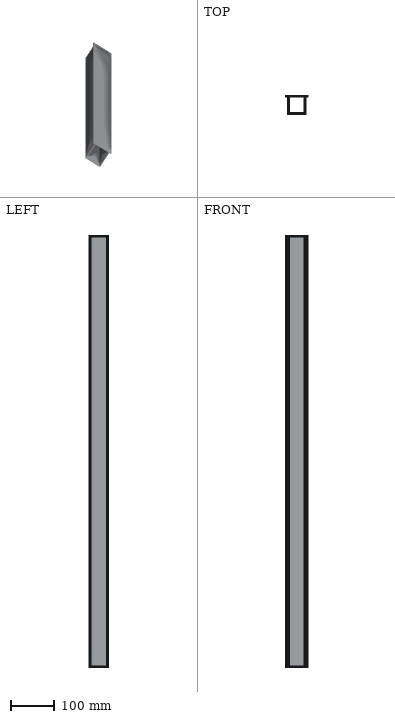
import cadquery as cq

length = 1000.0
channel_width = 40.0
channel_depth = 42.0
wall = 2.0
overall_width = 50.0

inner_width = channel_width - 2 * wall


def make_channel():
    """U-shaped duct, open toward +Y, with an outward lip along each rim."""
    outer = cq.Workplane("XY").box(channel_width, channel_depth, length, centered=(True, False, False))
    lips = (
        cq.Workplane("XY")
        .box(overall_width, wall, length, centered=(True, False, False))
        .translate((0, channel_depth - wall, 0))
    )
    cavity = (
        cq.Workplane("XY")
        .box(inner_width, channel_depth - wall, length, centered=(True, False, False))
        .translate((0, wall, 0))
    )
    return outer.union(lips).cut(cavity)


def make_lid():
    """Flat strip between the channel walls, flush with the lips."""
    lid = cq.Workplane("XY").box(inner_width, wall, length, centered=(True, False, False))
    return lid.translate((0, channel_depth - wall, 0))


channel = make_channel()
lid = make_lid()

result = cq.Compound.makeCompound([channel.val(), lid.val()])